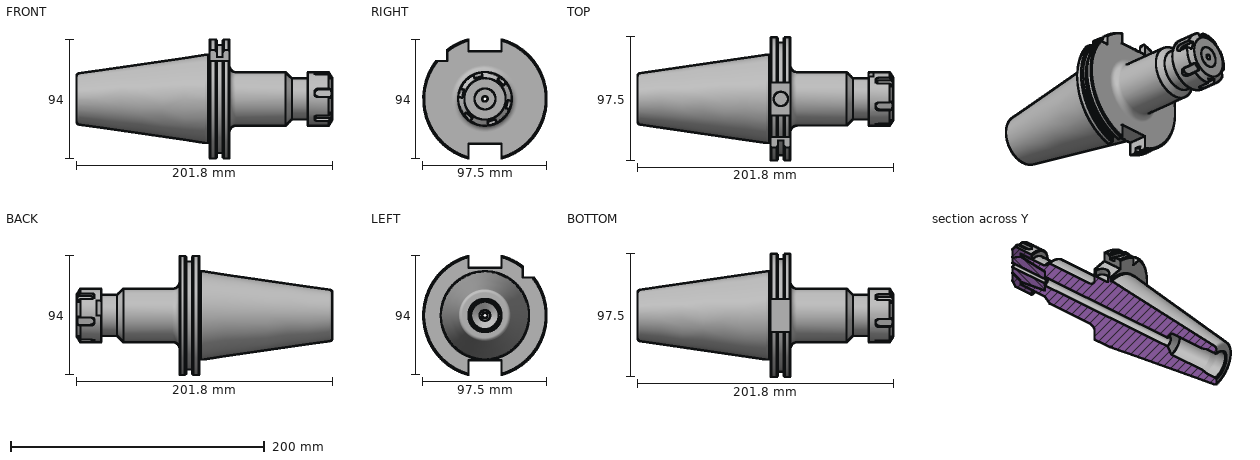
import cadquery as cq
import math

total_length = 201.8

gauge_x = 101.7
gauge_radius = 35.0
taper_slope = 7 / 48
tail_radius = gauge_radius - gauge_x * taper_slope
tail_fillet = 2.6

undercut_x = 103.7
undercut_floor_x = 104.1
undercut_depth = 0.6

flange_x = 104.7
flange_end_x = 120.6
flange_diameter = 97.5
flange_radius = flange_diameter / 2
flange_chamfer = 0.8
groove_centre_x = 113.0
groove_width = 4.5
groove_floor_radius = 44.5
groove_chamfer = 1.2
slot_width = 25.8
upper_slot_floor_z = 37.7
lower_slot_floor_z = -35.5
notch_y = -29.9
notch_floor_z = 30.0
chip_hole_radius = 5.6
chip_hole_depth = 6.0

body_radius = 21.2
body_fillet = 5.0
body_end_x = 164.8
nose_x = 169.7
nose_radius = 16.3
nose_end_x = 193.7

mouth_radius = 13.1
mouth_chamfer_length = 1.0
pilot_radius = 12.5
pilot_end_x = 8.9
countersink_x = 9.9
countersink_radius = 12.3
thread_radius = 10.9
thread_start_x = 14.1
thread_end_x = 44.4
drill_point_angle = 118
coolant_radius = 4.2

collet_back_x = 169.5
collet_radius = 13.0
collet_back_angle = 8
collet_front_angle = 30
collet_bore_radius = 2.0
collet_back_radius = collet_radius - (nose_end_x - collet_back_x) * math.tan(math.radians(collet_back_angle))
collet_front_radius = collet_radius - (total_length - nose_end_x) * math.tan(math.radians(collet_front_angle))

nut_x = 182.0
nut_radius = 21.2
nut_back_chamfer = 0.6
nut_chamfer_x = 198.7
nut_front_radius = 16.3
wrench_slot_count = 6
wrench_slot_x = 187.5
wrench_slot_width = 6.7
wrench_slot_floor_radius = 17.8
wrench_slot_angle = 13.5
nut_notch_length = 4.0
nut_notch_y = 17.5
nut_notch_floor_z = 0.0


def revolve_about_x(profile):
    """Turn a closed outline of (x, radius) around the X axis."""
    return profile.close().revolve(360, (0, 0, 0), (1, 0, 0))


def turned(points):
    """Turn a straight-sided outline of (x, radius) points around the X axis."""
    return revolve_about_x(cq.Workplane("XY").polyline(points))


def block(x_range, y_range, z_range):
    """Axis-aligned box given by its limits along each axis."""
    (x0, x1), (y0, y1), (z0, z1) = x_range, y_range, z_range
    return cq.Workplane("XY").box(x1 - x0, y1 - y0, z1 - z0, centered=False).translate((x0, y0, z0))


def make_collet_envelope():
    """Outside of the collet; also the shape of the seat in the nose and nut."""
    return turned([
        (collet_back_x, 0),
        (collet_back_x, collet_back_radius),
        (nose_end_x, collet_radius),
        (total_length, collet_front_radius),
        (total_length, 0),
    ])


def make_collet():
    bore_length = total_length - collet_back_x
    bore = cq.Workplane("YZ", origin=(collet_back_x, 0, 0)).circle(collet_bore_radius).extrude(bore_length)
    return make_collet_envelope().cut(bore)


def make_shank():
    """Taper with a rounded tail, and a short cylinder with an undercut at the flange."""
    shank = turned([
        (0, 0),
        (0, tail_radius),
        (gauge_x, gauge_radius),
        (undercut_x, gauge_radius),
        (undercut_floor_x, gauge_radius - undercut_depth),
        (flange_x, gauge_radius),
        (flange_x, 0),
    ])
    return shank.faces("<X").edges().fillet(tail_fillet)


def make_flange_disc():
    """Flange with chamfered rims and the gripper groove."""
    rim = flange_radius - flange_chamfer
    groove_start_x = groove_centre_x - groove_width / 2
    groove_end_x = groove_centre_x + groove_width / 2
    return turned([
        (flange_x, 0),
        (flange_x, rim),
        (flange_x + flange_chamfer, flange_radius),
        (groove_start_x - groove_chamfer, flange_radius),
        (groove_start_x, flange_radius - groove_chamfer),
        (groove_start_x, groove_floor_radius),
        (groove_end_x, groove_floor_radius),
        (groove_end_x, flange_radius - groove_chamfer),
        (groove_end_x + groove_chamfer, flange_radius),
        (flange_end_x - flange_chamfer, flange_radius),
        (flange_end_x, rim),
        (flange_end_x, 0),
    ])


def make_flange():
    """Flange disc with its drive slots, orientation notch and chip hole."""
    along = (flange_x, flange_end_x)
    across = (-slot_width / 2, slot_width / 2)
    upper_slot = block(along, across, (upper_slot_floor_z, flange_radius))
    lower_slot = block(along, across, (-flange_radius, lower_slot_floor_z))
    notch = block(along, (-flange_radius, notch_y), (notch_floor_z, flange_radius))
    chip_hole = (
        cq.Workplane("XY", origin=(groove_centre_x, 0, upper_slot_floor_z))
        .circle(chip_hole_radius)
        .extrude(-chip_hole_depth)
    )
    return make_flange_disc().cut(upper_slot).cut(lower_slot).cut(notch).cut(chip_hole)


def make_body():
    """Body in front of the flange, with a root fillet, and the nose."""
    arc_offset = body_fillet * (1 - math.sqrt(0.5))
    profile = (
        cq.Workplane("XY")
        .moveTo(flange_end_x, 0)
        .lineTo(flange_end_x, body_radius + body_fillet)
        .threePointArc(
            (flange_end_x + arc_offset, body_radius + arc_offset),
            (flange_end_x + body_fillet, body_radius),
        )
        .lineTo(body_end_x, body_radius)
        .lineTo(nose_x, nose_radius)
        .lineTo(nose_end_x, nose_radius)
        .lineTo(nose_end_x, 0)
    )
    return revolve_about_x(profile)


def make_rear_bore():
    """Pilot, countersink, threaded bore with a drilled end, and the coolant channel."""
    drill_point_length = (thread_radius - coolant_radius) / math.tan(math.radians(drill_point_angle / 2))
    channel_x = thread_end_x + drill_point_length
    return turned([
        (0, 0),
        (0, mouth_radius),
        (mouth_chamfer_length, pilot_radius),
        (pilot_end_x, pilot_radius),
        (countersink_x, countersink_radius),
        (thread_start_x, thread_radius),
        (thread_end_x, thread_radius),
        (channel_x, coolant_radius),
        (collet_back_x, coolant_radius),
        (collet_back_x, 0),
    ])


def make_holder():
    solid = make_shank().union(make_flange()).union(make_body())
    return solid.cut(make_rear_bore()).cut(make_collet_envelope())


def make_wrench_slot():
    """Slot cutter on the -Y side, round at the back and open at the front."""
    end_radius = wrench_slot_width / 2
    straight_x = wrench_slot_x + end_radius
    return (
        cq.Workplane("XZ", origin=(0, -wrench_slot_floor_radius, 0))
        .moveTo(straight_x, end_radius)
        .threePointArc((wrench_slot_x, 0), (straight_x, -end_radius))
        .lineTo(total_length, -end_radius)
        .lineTo(total_length, end_radius)
        .close()
        .extrude(nut_radius - wrench_slot_floor_radius)
    )


def make_nut():
    nut = turned([
        (nut_x, nose_radius),
        (nut_x, nut_radius - nut_back_chamfer),
        (nut_x + nut_back_chamfer, nut_radius),
        (nut_chamfer_x, nut_radius),
        (total_length, nut_front_radius),
        (total_length, 0),
        (nose_end_x, 0),
        (nose_end_x, nose_radius),
    ])
    nut = nut.cut(make_collet_envelope())
    slot = make_wrench_slot()
    for i in range(wrench_slot_count):
        angle = -(wrench_slot_angle + i * 360 / wrench_slot_count)
        nut = nut.cut(slot.rotate((0, 0, 0), (1, 0, 0), angle))
    notch = block(
        (nut_x, nut_x + nut_notch_length),
        (nut_notch_y, nut_radius),
        (nut_notch_floor_z, nut_radius),
    )
    return nut.cut(notch)


holder = make_holder()
collet = make_collet()
nut = make_nut()

result = cq.Compound.makeCompound([*holder.solids().vals(), *collet.solids().vals(), *nut.solids().vals()])